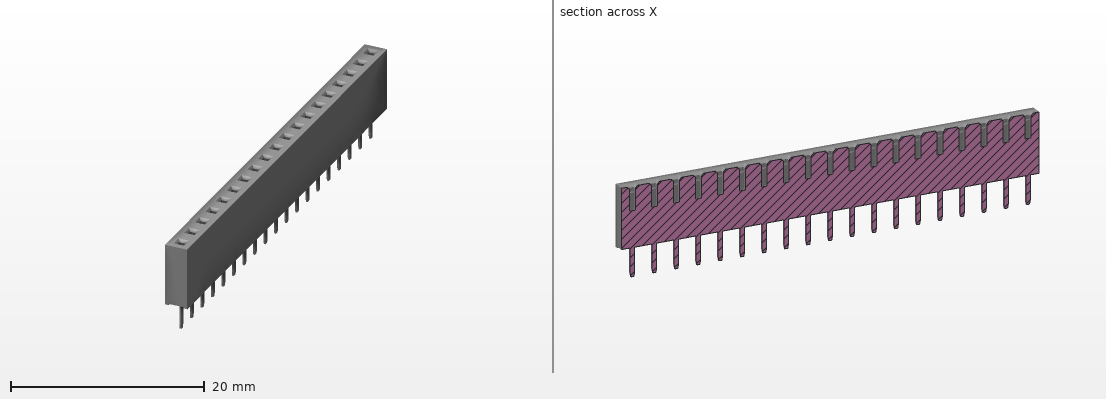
import cadquery as cq

contact_count = 19
row_length = 48.25
pitch = row_length / contact_count

housing_width = 2.55
housing_height = 7.0

rail_width = 0.45
channel_depth = 0.15

mouth_size = 1.2
throat_size = 0.65
funnel_depth = (mouth_size - throat_size) / 2

well_depth = 2.4
leaf_spacing = 0.15
leaf_width = 0.5
leaf_recess = 0.5

total_height = 10.1
pin_length = total_height - housing_height
pin_thickness = 0.2
pin_width = 0.6
tip_width = 0.4
tip_length = 0.5


def make_housing():
    """Rectangular bar centred on the contact row, with a channel along its underside."""
    bar = cq.Workplane("XY").box(
        housing_width, row_length, housing_height, centered=(True, True, False)
    )
    channel = cq.Workplane("XY").box(
        housing_width - 2 * rail_width, row_length, channel_depth, centered=(True, True, False)
    )
    return bar.cut(channel)


def make_socket():
    """Cutting tool for one socket: a funnel and the open gaps around its contact leaves."""
    funnel_bottom = housing_height - funnel_depth
    funnel = (
        cq.Workplane("XY", origin=(0, 0, funnel_bottom))
        .rect(throat_size, throat_size)
        .workplane(offset=funnel_depth)
        .rect(mouth_size, mouth_size)
        .loft(ruled=True)
    )
    well = (
        cq.Workplane("XY", origin=(0, 0, funnel_bottom))
        .rect(throat_size, throat_size)
        .extrude(-well_depth)
    )
    leaf_thickness = (throat_size - leaf_spacing) / 2
    leaf_offset = (leaf_spacing + leaf_thickness) / 2
    leaves = (
        cq.Workplane("XY", origin=(0, 0, funnel_bottom - well_depth))
        .pushPoints([(-leaf_offset, 0), (leaf_offset, 0)])
        .rect(leaf_thickness, leaf_width)
        .extrude(well_depth - leaf_recess)
    )
    return funnel.union(well.cut(leaves))


def make_pin():
    """One flat pin hanging from the channel, narrowing along Y at its tip."""
    root_z = channel_depth
    shoulder_z = tip_length - pin_length
    outline = [
        (-pin_width / 2, root_z),
        (-pin_width / 2, shoulder_z),
        (-tip_width / 2, -pin_length),
        (tip_width / 2, -pin_length),
        (pin_width / 2, shoulder_z),
        (pin_width / 2, root_z),
    ]
    return cq.Workplane("YZ").polyline(outline).close().extrude(pin_thickness / 2, both=True)


socket = make_socket()
pin = make_pin()
result = make_housing()
for index in range(contact_count):
    contact_y = (index - (contact_count - 1) / 2) * pitch
    result = result.cut(socket.translate((0, contact_y, 0)))
    result = result.union(pin.translate((0, contact_y, 0)))